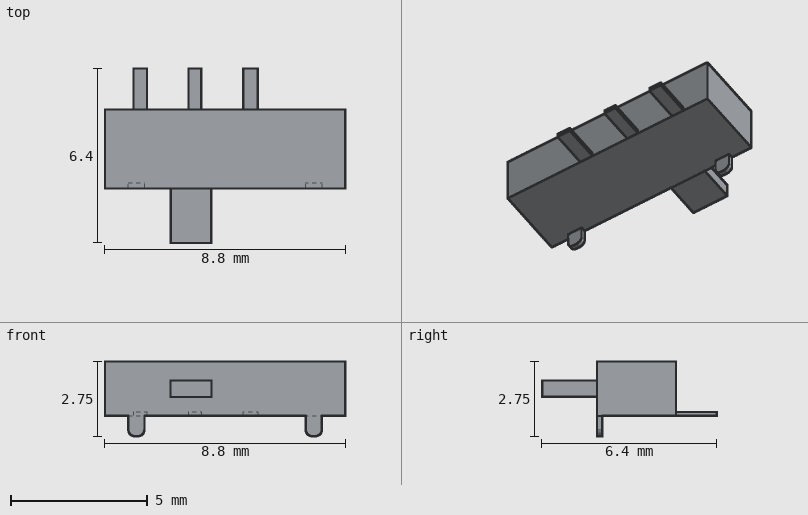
import cadquery as cq

HOUSING_LENGTH = 8.8
HOUSING_DEPTH = 2.9
HOUSING_HEIGHT = 2.0

PEG_WIDTH = 0.6
PEG_THICKNESS = 0.2
PEG_LENGTH = 0.75
PEG_TIP_RADIUS = 0.25
PEG_END_GAP = 0.85

SLIDER_WIDTH = 1.5
SLIDER_LENGTH = 2.0
SLIDER_HEIGHT = 0.6
SLIDER_LEFT = 2.4

TERMINAL_WIDTHS = (0.5, 0.475, 0.54)
TERMINAL_LENGTH = 1.5
TERMINAL_THICKNESS = 0.15
TERMINAL_PITCH = 2.01
FIRST_TERMINAL_LEFT = 1.05


def box_from_corner(length, depth, height, corner):
    """Box whose lowest X, Y and Z corner is at the given point."""
    return cq.Workplane("XY").box(length, depth, height, centered=False).translate(corner)


def make_peg(left):
    """Flat peg hanging below the housing, with rounded lower corners."""
    peg = box_from_corner(PEG_WIDTH, PEG_THICKNESS, PEG_LENGTH, (left, 0, -PEG_LENGTH))
    return peg.edges("|Y and <Z").fillet(PEG_TIP_RADIUS)


def make_housing():
    """Plain block with one locating peg near each end."""
    housing = box_from_corner(HOUSING_LENGTH, HOUSING_DEPTH, HOUSING_HEIGHT, (0, 0, 0))
    right_peg_left = HOUSING_LENGTH - PEG_END_GAP - PEG_WIDTH
    for left in (PEG_END_GAP, right_peg_left):
        housing = housing.union(make_peg(left))
    return housing


def make_slider():
    """Rectangular knob that meets the front face of the housing."""
    bottom = (HOUSING_HEIGHT - SLIDER_HEIGHT) / 2
    corner = (SLIDER_LEFT, -SLIDER_LENGTH, bottom)
    return box_from_corner(SLIDER_WIDTH, SLIDER_LENGTH, SLIDER_HEIGHT, corner)


def make_terminal(left, width):
    """Thin strip that meets the back face of the housing."""
    corner = (left, HOUSING_DEPTH, 0)
    return box_from_corner(width, TERMINAL_LENGTH, TERMINAL_THICKNESS, corner)


housing = make_housing()
slider = make_slider()

terminals = []
for index, width in enumerate(TERMINAL_WIDTHS):
    left = FIRST_TERMINAL_LEFT + index * TERMINAL_PITCH
    terminals.append(make_terminal(left, width).val())

result = cq.Compound.makeCompound([housing.val(), slider.val(), *terminals])